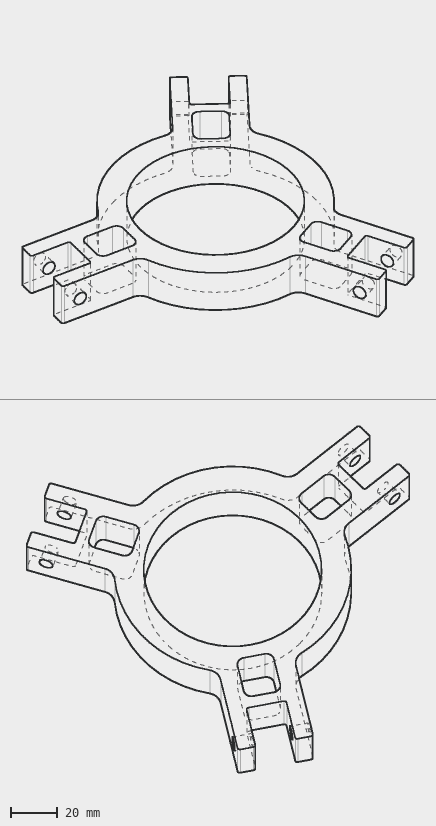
import cadquery as cq

thickness = 20.2
ring_outer_radius = 51.0
ring_inner_radius = 38.1

arm_count = 3
arm_tip = 87.9
arm_width = 33.1
root_fillet = 6.0
tip_fillet = 1.0

slot_floor = 68.4
slot_width = 17.5
slot_fillet = 1.0

window_start = 43.9
window_end = 63.2
window_width = 16.0
window_fillet = 3.4

pin_diameter = 6.0
pin_to_tip = 9.0


def bar(start, end, width):
    """Full-thickness block along +X, centred on the arm axis."""
    return (
        cq.Workplane("XY")
        .center((start + end) / 2, 0)
        .rect(end - start, width)
        .extrude(thickness)
    )


def around(shape):
    """The same shape repeated at every arm."""
    copies = cq.Workplane("XY")
    for index in range(arm_count):
        angle = index * 360 / arm_count
        copies = copies.add(shape.rotate((0, 0, 0), (0, 0, 1), angle))
    return copies.combine()


def root_edges():
    """Selects the concave edges where the arm sides meet the ring."""
    root_x = (ring_outer_radius**2 - (arm_width / 2) ** 2) ** 0.5
    reach = 0.8
    return cq.selectors.BoxSelector(
        (root_x - reach, -arm_width / 2 - reach, 0),
        (root_x + reach, arm_width / 2 + reach, thickness),
    )


def slot():
    return bar(slot_floor, arm_tip + slot_width, slot_width).edges("|Z and <X").fillet(slot_fillet)


def arm():
    """Forked arm on a solid disc, so that its root can be rounded into the rim."""
    disc = cq.Workplane("XY").circle(ring_outer_radius).extrude(thickness)
    blank = disc.union(bar(0, arm_tip, arm_width))
    rounded = blank.edges("|Z").edges(root_edges()).fillet(root_fillet)
    return rounded.cut(slot()).edges("|Z and >X").fillet(tip_fillet)


def window():
    return bar(window_start, window_end, window_width).edges("|Z").fillet(window_fillet)


def pin_hole():
    return (
        cq.Workplane("XZ")
        .center(arm_tip - pin_to_tip, thickness / 2)
        .circle(pin_diameter / 2)
        .extrude(arm_width, both=True)
    )


bore = cq.Workplane("XY").circle(ring_inner_radius).extrude(thickness)

result = around(arm()).cut(bore)
for cutter in (window(), pin_hole()):
    result = result.cut(around(cutter))